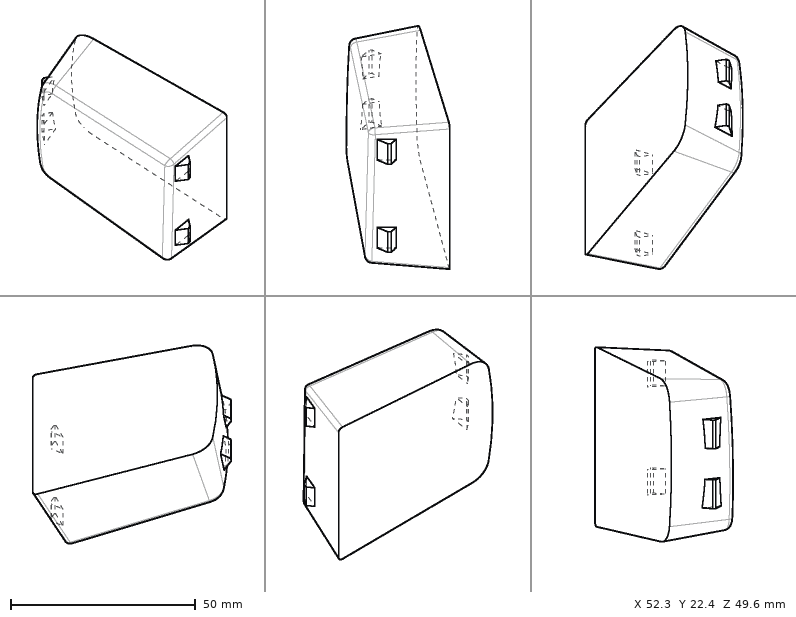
import cadquery as cq
import math

BODY_LENGTH = 51.7
RIGHT_BOTTOM_Z = -0.1
RIGHT_TOP_Z = 49.65
TOP_SLOPE = 1.0
BOTTOM_SLOPE = 5.1
LEFT_CORNER_X = 2.2
LEFT_CORNER_RADIUS = 6.25

WALL_DRAFT = 5.2
RIGHT_DRAFT = 10.0
FRONT_DEPTH = 22.55
FRONT_CORNER_X = 48.05
FRONT_SLOPE_X = 0.055
FRONT_SLOPE_Z = 0.022
RIGHT_EDGE_RADIUS = 1.3
FRONT_EDGE_RADIUS = 1.9

LEFT_CREST_X = -0.6
LEFT_CREST_Y = -12.45
LEFT_TAB_WIDTH = 7.95
LEFT_TAB_CENTERS = (17.4, 33.9)
RIGHT_CREST_X = 50.8
RIGHT_CREST_Y = -16.4
RIGHT_TAB_WIDTH = 6.95
RIGHT_TAB_CENTERS = (11.45, 41.3)
CREST_FLAT = 0.9
TAB_DEPTH = 3.65

OVERSIZE = 4.2
CUTTER_SIZE = 156.75
END_CLEARANCE = 0.5


def z_on_top(x):
    return RIGHT_TOP_Z - (BODY_LENGTH - x) * math.tan(math.radians(TOP_SLOPE))


def z_on_bottom(x):
    return RIGHT_BOTTOM_Z + (BODY_LENGTH - x) * math.tan(math.radians(BOTTOM_SLOPE))


def cut_beyond(body, point, outward):
    """Remove everything outside the plane through point with the given outward normal."""
    in_plane = cq.Vector(outward[1], -outward[0], 0)
    plane = cq.Plane(origin=point, xDir=in_plane, normal=outward)
    return body.cut(cq.Workplane(plane).rect(CUTTER_SIZE, CUTTER_SIZE).extrude(CUTTER_SIZE))


def make_body():
    far_x = BODY_LENGTH + OVERSIZE
    left_top = z_on_top(LEFT_CORNER_X)
    left_bottom = z_on_bottom(LEFT_CORNER_X)
    outline = (
        cq.Sketch()
        .segment((far_x, z_on_bottom(far_x)), (far_x, z_on_top(far_x)))
        .segment((LEFT_CORNER_X, left_top))
        .arc((0, (left_top + left_bottom) / 2), (LEFT_CORNER_X, left_bottom))
        .segment((LEFT_CORNER_X, left_bottom), (far_x, z_on_bottom(far_x)))
        .assemble()
        .reset()
        .vertices("<X")
        .fillet(LEFT_CORNER_RADIUS)
    )
    body = cq.Workplane("XZ").placeSketch(outline).extrude(FRONT_DEPTH + OVERSIZE, taper=WALL_DRAFT)

    right_angle = math.radians(RIGHT_DRAFT)
    right_normal = (math.cos(right_angle), -math.sin(right_angle), 0)
    body = cut_beyond(body, (BODY_LENGTH, 0, 0), right_normal)

    front_normal = (-FRONT_SLOPE_X, -1, FRONT_SLOPE_Z)
    body = cut_beyond(body, (FRONT_CORNER_X, -FRONT_DEPTH, 0), front_normal)

    right_region = cq.selectors.BoxSelector(
        (FRONT_CORNER_X - OVERSIZE, -FRONT_DEPTH + END_CLEARANCE, -OVERSIZE),
        (BODY_LENGTH, -END_CLEARANCE, RIGHT_TOP_Z + OVERSIZE),
    )
    body = body.edges(right_region).edges("not |Z").edges("<Z or >Z").fillet(RIGHT_EDGE_RADIUS)

    front_face = cq.selectors.DirectionMinMaxSelector(cq.Vector(*front_normal), True)
    return body.faces(front_face).edges().fillet(FRONT_EDGE_RADIUS)


def make_tab(crest_x, crest_y, inward, center_z, width):
    half_crest = CREST_FLAT / 2
    half_root = half_crest + TAB_DEPTH
    root_x = crest_x + inward * TAB_DEPTH
    return (
        cq.Workplane("XY", origin=(0, 0, center_z))
        .polyline([
            (crest_x, crest_y - half_crest),
            (crest_x, crest_y + half_crest),
            (root_x, crest_y + half_root),
            (root_x, crest_y - half_root),
        ])
        .close()
        .extrude(width / 2, both=True)
    )


result = make_body()
for tab_z in LEFT_TAB_CENTERS:
    result = result.union(make_tab(LEFT_CREST_X, LEFT_CREST_Y, 1, tab_z, LEFT_TAB_WIDTH))
for tab_z in RIGHT_TAB_CENTERS:
    result = result.union(make_tab(RIGHT_CREST_X, RIGHT_CREST_Y, -1, tab_z, RIGHT_TAB_WIDTH))